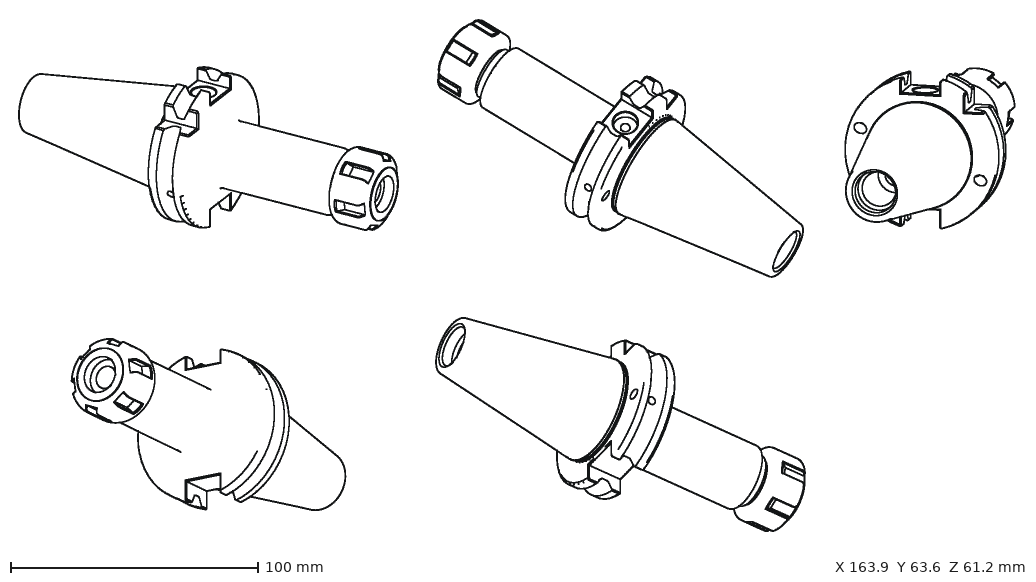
import cadquery as cq
import math


cutter_clearance = 1.0
selection_margin = 0.1

overall_length = 163.87

gauge_radius = 44.45 / 2
taper_overrun = 0.4
taper_length = 68.4
taper_slope = 7 / 24 / 2
taper_end_radius = gauge_radius - taper_length * taper_slope
taper_end_round = 1.0
taper_large_radius = gauge_radius + taper_overrun * taper_slope

collar_radius = 22.0
undercut_start = 1.8
collar_fillet = 0.7
undercut_depth = 0.4
undercut_radius = collar_radius - undercut_depth

flange_start = 3.2
flange_width = 15.9
flange_end = flange_start + flange_width
undercut_end = flange_start - collar_fillet
flange_radius = 63.55 / 2
flange_round = 1.0

groove_x = 11.1
groove_floor_radius = 28.0
groove_half_mouth = 3.75
groove_flank_angle = 30
groove_depth = flange_radius - groove_floor_radius
groove_half_floor = groove_half_mouth - groove_depth * math.tan(math.radians(groove_flank_angle))
groove_floor_round = 1.1

slot_width = 16.1
upper_slot_floor = 25.0
lower_slot_floor = -22.8
notch_wall = 18.5
cutout_chamfer = 0.5
cutter_reach = flange_radius + cutter_clearance

pocket_diameter = 10.0
pocket_depth = 4.0
pocket_chamfer = 0.3
pocket_hole_diameter = 3.8

coolant_angles = (20.5, 200.5)
coolant_diameter = 4.2
coolant_mouth_radius = 26.8
coolant_tilt = 38
groove_hole_diameter = 3.2
coolant_drop = (groove_x - flange_start) * math.tan(math.radians(coolant_tilt))
groove_hole_inner_radius = coolant_mouth_radius - coolant_drop
groove_hole_length = flange_radius - groove_hole_inner_radius

neck_radius = 14.0
neck_fillet = 5.0
neck_end = 73.4
neck_end_round = 1.0
nose_fillet = 0.9
nose_radius = 11.1
nose_end = 76.6
spigot_radius = 10.0
spigot_start = 77.9
spigot_end = 91.0

through_radius = 4.65
bore_mouth_chamfer = 1.0
counterbore_radius = 8.5
counterbore_depth = 5.5
thread_radius = 7.1
thread_depth = 32.0
drill_tip_angle = 59

nut_start = 78.0
nut_end = overall_length - taper_length
nut_radius = 16.05
nut_back_round = 2.0
nut_front_round = 2.0
nut_cone_angle = 63
nut_cone_start = 93.1
nut_front_land = 0.4
nut_opening_radius = 7.5

nut_slot_count = 6
nut_slot_width = 5.1
nut_slot_floor = 13.3
nut_slot_first_angle = 7
nut_slot_ramp_end = 84.4
nut_slot_ramp_angle = 45
nut_slot_chamfer = 0.4


def revolve_about_x(outline):
    """Close a half outline drawn in the XY plane, spin it round the X axis, put its seam at +Z."""
    turned = outline.close().revolve(360, (0, 0, 0), (1, 0, 0))
    return turned.rotate((0, 0, 0), (1, 0, 0), 90)


def holder_blank():
    outline = (
        cq.Workplane("XY")
        .moveTo(-taper_length, 0)
        .lineTo(-taper_length, taper_end_radius - taper_end_round)
        .radiusArc(
            (-taper_length + taper_end_round, taper_end_radius + taper_end_round * taper_slope),
            taper_end_round,
        )
        .lineTo(taper_overrun, taper_large_radius)
        .lineTo(taper_overrun, collar_radius)
        .lineTo(undercut_start, collar_radius)
        .lineTo(undercut_start, undercut_radius)
        .lineTo(undercut_end, undercut_radius)
        .lineTo(undercut_end, collar_radius)
        .radiusArc((flange_start, collar_radius + collar_fillet), -collar_fillet)
        .lineTo(flange_start, flange_radius - flange_round)
        .radiusArc((flange_start + flange_round, flange_radius), flange_round)
        .lineTo(flange_end - flange_round, flange_radius)
        .radiusArc((flange_end, flange_radius - flange_round), flange_round)
        .lineTo(flange_end, neck_radius + neck_fillet)
        .radiusArc((flange_end + neck_fillet, neck_radius), -neck_fillet)
        .lineTo(neck_end - neck_end_round, neck_radius)
        .radiusArc((neck_end, neck_radius - neck_end_round), neck_end_round)
        .lineTo(neck_end, nose_radius + nose_fillet)
        .radiusArc((neck_end + nose_fillet, nose_radius), -nose_fillet)
        .lineTo(nose_end, nose_radius)
        .lineTo(spigot_start, spigot_radius)
        .lineTo(spigot_end, spigot_radius)
        .lineTo(spigot_end, 0)
    )
    return revolve_about_x(outline)


def rim_groove():
    """Ring with a V section, rounded at the two floor corners."""
    ring = revolve_about_x(
        cq.Workplane("XY")
        .moveTo(groove_x - groove_half_mouth, flange_radius)
        .lineTo(groove_x - groove_half_floor, groove_floor_radius)
        .lineTo(groove_x + groove_half_floor, groove_floor_radius)
        .lineTo(groove_x + groove_half_mouth, flange_radius)
    )
    floor_edges = cq.selectors.BoxSelector(
        (groove_x - groove_half_floor - selection_margin, -flange_radius, -flange_radius),
        (groove_x + groove_half_floor + selection_margin, flange_radius, flange_radius),
    )
    return ring.edges("%CIRCLE").edges(floor_edges).fillet(groove_floor_round)


def holder_bore():
    mouth = -taper_length
    step_end = mouth + counterbore_depth + counterbore_radius - thread_radius
    thread_end = mouth + thread_depth
    tip_end = thread_end + (thread_radius - through_radius) / math.tan(math.radians(drill_tip_angle))
    outline = (
        cq.Workplane("XY")
        .moveTo(mouth, 0)
        .lineTo(mouth, counterbore_radius + bore_mouth_chamfer)
        .lineTo(mouth + bore_mouth_chamfer, counterbore_radius)
        .lineTo(mouth + counterbore_depth, counterbore_radius)
        .lineTo(step_end, thread_radius)
        .lineTo(thread_end, thread_radius)
        .lineTo(tip_end, through_radius)
        .lineTo(spigot_end, through_radius)
        .lineTo(spigot_end, 0)
    )
    return revolve_about_x(outline)


def flange_cutout(y_min, y_max, z_min, z_max):
    """Box through the flange width."""
    return (
        cq.Workplane("YZ", origin=(flange_start, (y_min + y_max) / 2, (z_min + z_max) / 2))
        .rect(y_max - y_min, z_max - z_min)
        .extrude(flange_width)
    )


def cut_slots_and_notch(holder):
    """Cut both drive slots and the notch, and chamfer their edges at the flange faces and rim."""
    half_slot = slot_width / 2
    holder = holder.cut(flange_cutout(-half_slot, half_slot, upper_slot_floor, cutter_reach))
    holder = holder.cut(flange_cutout(-half_slot, half_slot, -cutter_reach, lower_slot_floor))
    holder = holder.cut(flange_cutout(-cutter_reach, -notch_wall, notch_wall, cutter_reach))
    groove_span = cq.selectors.BoxSelector(
        (groove_x - groove_half_mouth, -flange_radius, -flange_radius),
        (groove_x + groove_half_mouth, flange_radius, flange_radius),
    )
    outer_edges = cq.selectors.InverseSelector(groove_span)
    return holder.faces("|Y or |Z").edges(outer_edges).chamfer(cutout_chamfer)


def chip_pocket():
    """Flat round pocket with a chamfered mouth in the upper slot floor, and a hole down to the bore."""
    pocket = (
        cq.Workplane("XY", origin=(groove_x, 0, upper_slot_floor - pocket_depth))
        .circle(pocket_diameter / 2)
        .extrude(pocket_depth)
    )
    mouth = cq.Solid.makeCone(
        pocket_diameter / 2,
        pocket_diameter / 2 + pocket_chamfer,
        pocket_chamfer,
        cq.Vector(groove_x, 0, upper_slot_floor - pocket_chamfer),
    )
    hole = (
        cq.Workplane("XY", origin=(groove_x, 0, 0))
        .circle(pocket_hole_diameter / 2)
        .extrude(upper_slot_floor)
    )
    return pocket.union(cq.Workplane(mouth)).union(hole)


def coolant_passage(angle):
    """Inclined hole from the flange face, met by a radial hole from the groove floor.

    The angle is measured about X from +Y towards +Z.
    """
    tilt = math.radians(coolant_tilt)
    inclined_length = (groove_x - flange_start) / math.cos(tilt)
    lead_in = coolant_diameter
    direction = cq.Vector(math.cos(tilt), -math.sin(tilt), 0)
    mouth = cq.Vector(flange_start, coolant_mouth_radius, 0)
    inclined = cq.Solid.makeCylinder(
        coolant_diameter / 2, inclined_length + lead_in, mouth - direction * lead_in, direction
    )
    radial = cq.Solid.makeCylinder(
        groove_hole_diameter / 2,
        groove_hole_length,
        cq.Vector(groove_x, groove_hole_inner_radius, 0),
        cq.Vector(0, 1, 0),
    )
    passage = cq.Workplane(inclined).union(cq.Workplane(radial))
    return passage.rotate((0, 0, 0), (1, 0, 0), angle)


def make_holder():
    holder = cut_slots_and_notch(holder_blank().cut(rim_groove()))
    holder = holder.cut(holder_bore()).cut(chip_pocket())
    for angle in coolant_angles:
        holder = holder.cut(coolant_passage(angle))
    return holder


def nut_blank():
    cone = math.radians(nut_cone_angle)
    round_start = nut_cone_start - nut_front_round * math.sin(cone)
    cone_start_radius = nut_radius - nut_front_round * (1 - math.cos(cone))
    cone_end = nut_end - nut_front_land
    cone_end_radius = cone_start_radius - (cone_end - nut_cone_start) * math.tan(cone)
    outline = (
        cq.Workplane("XY")
        .moveTo(nut_start, spigot_radius)
        .lineTo(nut_start, nut_radius - nut_back_round)
        .radiusArc((nut_start + nut_back_round, nut_radius), nut_back_round)
        .lineTo(round_start, nut_radius)
        .radiusArc((nut_cone_start, cone_start_radius), nut_front_round)
        .lineTo(cone_end, cone_end_radius)
        .lineTo(nut_end, cone_end_radius)
        .lineTo(nut_end, nut_opening_radius)
        .lineTo(spigot_end, nut_opening_radius)
        .lineTo(spigot_end, spigot_radius)
    )
    return revolve_about_x(outline)


def nut_slot(blank):
    """Material removed by one slot at +Z: flat floor, ramp at the back, chamfered outer edges."""
    top = nut_radius + cutter_clearance
    ramp_length = (top - nut_slot_floor) / math.tan(math.radians(nut_slot_ramp_angle))
    channel = (
        cq.Workplane("XZ", origin=(0, nut_slot_width / 2, 0))
        .moveTo(nut_slot_ramp_end - ramp_length, top)
        .lineTo(nut_slot_ramp_end, nut_slot_floor)
        .lineTo(nut_end, nut_slot_floor)
        .lineTo(nut_end, top)
        .close()
        .extrude(nut_slot_width)
    )
    slotted = blank.cut(channel)
    cylinder_rim = cq.selectors.BoxSelector(
        (nut_start + nut_back_round, -nut_slot_width, (nut_slot_floor + nut_radius) / 2),
        (nut_cone_start, nut_slot_width, top),
    )
    cone_rim = cq.selectors.BoxSelector(
        (nut_cone_start, -nut_slot_width, nut_slot_floor + selection_margin),
        (nut_end, nut_slot_width, top),
    )
    rim = cq.selectors.SumSelector(cylinder_rim, cone_rim)
    return blank.cut(slotted.edges(rim).chamfer(nut_slot_chamfer))


def make_nut():
    blank = nut_blank()
    slot = nut_slot(blank)
    nut = blank
    for index in range(nut_slot_count):
        angle = nut_slot_first_angle - 90 + index * 360 / nut_slot_count
        nut = nut.cut(slot.rotate((0, 0, 0), (1, 0, 0), angle))
    return nut


holder = make_holder()
nut = make_nut()
result = cq.Compound.makeCompound([holder.val(), nut.val()])